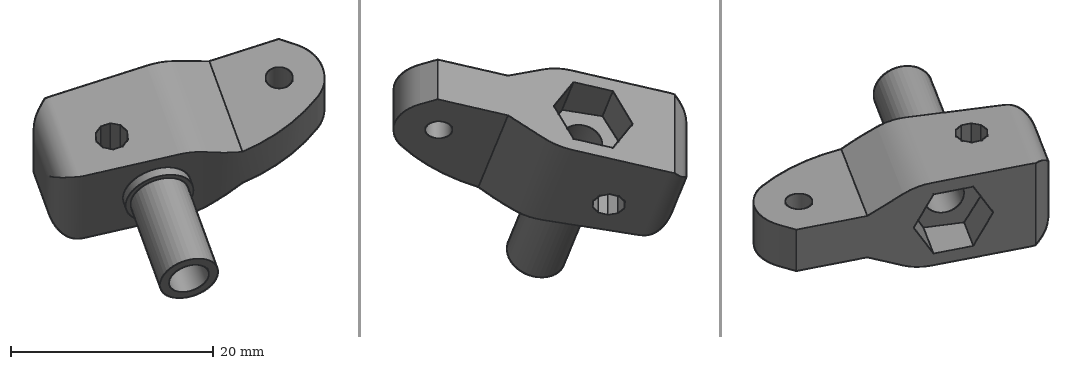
import cadquery as cq
import math


base_y = -10.5
tip_y = 19.5
body_thickness = 10.0
tang_thickness = 5.0

tip_radius = 4.5
pivot_x = -8.37
pivot_y = tip_y - tip_radius
back_radius = 20.0
flank_corner_x = -13.08
flank_corner_y = 16.3
flank_angle = 6.0
base_corner_radius = 3.0
base_flat_left_x = -7.25
base_chamfer_angle = 45.0

base_edge_radius = 2.5
slope_start_y = 8.95
slope_angle = 26.0
shoulder_radius = 6.6

collar_diameter = 7.0
collar_length = 0.95
shaft_diameter = 6.0
shaft_facets = 40
shaft_end_x = 11.5

pivot_hole_diameter = 2.7
bore_diameter = 4.1
hex_across_corners = 8.25
hex_floor_x = -7.0
cross_hole_x = -4.02
cross_hole_y = -3.48
cross_hole_diameter = 3.3
cross_hole_facets = 10
cross_hole_turn = -11.0


def on_circle(center, radius, degrees):
    """Point on a circle at an angle measured from the first axis."""
    angle = math.radians(degrees)
    return (center[0] + radius * math.cos(angle), center[1] + radius * math.sin(angle))


def plan_prism():
    """Outline seen along Z, extruded through the full body thickness."""
    pivot = (pivot_x, pivot_y)

    center_gap = back_radius - tip_radius
    back_center_x = -back_radius
    back_center_y = pivot_y - math.sqrt(center_gap**2 - (pivot_x - back_center_x)**2)
    back_center = (back_center_x, back_center_y)
    back_end_angle = math.degrees(math.atan2(pivot_y - back_center_y, pivot_x - back_center_x))

    corner_dx = flank_corner_x - pivot_x
    corner_dy = flank_corner_y - pivot_y
    corner_angle = math.degrees(math.atan2(corner_dy, corner_dx))
    corner_distance = math.hypot(corner_dx, corner_dy)
    tip_end_angle = corner_angle - math.degrees(math.acos(tip_radius / corner_distance))
    tip_mid_angle = (back_end_angle + tip_end_angle) / 2

    right_center = (-base_corner_radius, base_y + base_corner_radius)
    left_center = (base_flat_left_x, base_y + base_corner_radius)
    chamfer_normal_angle = 270 - base_chamfer_angle
    chamfer_mid_angle = 270 - base_chamfer_angle / 2
    chamfer_end = on_circle(left_center, base_corner_radius, chamfer_normal_angle)
    flank_slope = math.tan(math.radians(flank_angle))
    chamfer_slope = math.tan(math.radians(base_chamfer_angle))
    flank_x_at_chamfer_end = flank_corner_x + (flank_corner_y - chamfer_end[1]) * flank_slope
    chamfer_width = (chamfer_end[0] - flank_x_at_chamfer_end) / (1 - flank_slope * chamfer_slope)
    flank_end = (chamfer_end[0] - chamfer_width, chamfer_end[1] + chamfer_width * chamfer_slope)

    outline = (
        cq.Workplane("XY", origin=(0, 0, -body_thickness / 2))
        .moveTo(0, right_center[1])
        .lineTo(0, back_center_y)
        .threePointArc(
            on_circle(back_center, back_radius, back_end_angle / 2),
            on_circle(back_center, back_radius, back_end_angle),
        )
        .threePointArc(
            on_circle(pivot, tip_radius, tip_mid_angle),
            on_circle(pivot, tip_radius, tip_end_angle),
        )
        .lineTo(flank_corner_x, flank_corner_y)
        .lineTo(*flank_end)
        .lineTo(*chamfer_end)
        .threePointArc(
            on_circle(left_center, base_corner_radius, chamfer_mid_angle),
            (base_flat_left_x, base_y),
        )
        .lineTo(right_center[0], base_y)
        .threePointArc(on_circle(right_center, base_corner_radius, 315), (0, right_center[1]))
        .close()
    )
    return outline.extrude(body_thickness)


def thickness_prism():
    """Outline seen along X: a thick body narrowing to a thin tang."""
    half_body = body_thickness / 2
    half_tang = tang_thickness / 2

    slope = math.radians(slope_angle)
    slope_apex_y = slope_start_y - (half_body - half_tang) / math.tan(slope)
    shoulder_y = slope_apex_y - shoulder_radius * math.tan(slope / 2)
    shoulder_center = (shoulder_y, half_body - shoulder_radius)
    shoulder_mid = on_circle(shoulder_center, shoulder_radius, 90 - slope_angle / 2)
    shoulder_end = on_circle(shoulder_center, shoulder_radius, 90 - slope_angle)

    base_center = (base_y + base_edge_radius, half_body - base_edge_radius)
    base_mid = on_circle(base_center, base_edge_radius, 135)

    upper_half = (
        cq.Workplane("YZ", origin=(flank_corner_x, 0, 0))
        .moveTo(base_y, 0)
        .lineTo(base_y, base_center[1])
        .threePointArc(base_mid, (base_center[0], half_body))
        .lineTo(shoulder_y, half_body)
        .threePointArc(shoulder_mid, shoulder_end)
        .lineTo(slope_start_y, half_tang)
        .lineTo(tip_y, half_tang)
        .lineTo(tip_y, 0)
        .close()
        .extrude(-flank_corner_x)
    )
    return upper_half.union(upper_half.mirror("XY"))


def shaft():
    """Round collar and faceted shaft; the shaft has flats at the top and bottom."""
    half_facet_angle = 180 / shaft_facets
    collar = cq.Workplane("YZ").circle(collar_diameter / 2).extrude(collar_length)
    pin = (
        cq.Workplane("YZ")
        .polygon(shaft_facets, shaft_diameter)
        .extrude(shaft_end_x)
        .rotate((0, 0, 0), (1, 0, 0), half_facet_angle)
    )
    return collar.union(pin)


def shaft_bore():
    """Bore through the body and shaft, with a hexagonal nut pocket in the flank."""
    bore = (
        cq.Workplane("YZ", origin=(flank_corner_x, 0, 0))
        .circle(bore_diameter / 2)
        .extrude(shaft_end_x - flank_corner_x)
    )
    nut_pocket = (
        cq.Workplane("YZ", origin=(flank_corner_x, 0, 0))
        .polygon(6, hex_across_corners)
        .extrude(hex_floor_x - flank_corner_x)
    )
    return bore.union(nut_pocket)


def pivot_hole():
    """Round hole through the tang, concentric with the rounded tip."""
    return (
        cq.Workplane("XY", origin=(pivot_x, pivot_y, -body_thickness / 2))
        .circle(pivot_hole_diameter / 2)
        .extrude(body_thickness)
    )


def cross_hole():
    """Faceted hole through the body thickness, beside the shaft bore."""
    return (
        cq.Workplane("XY", origin=(cross_hole_x, cross_hole_y, -body_thickness / 2))
        .transformed(rotate=(0, 0, cross_hole_turn))
        .polygon(cross_hole_facets, cross_hole_diameter)
        .extrude(body_thickness)
    )


body = plan_prism().intersect(thickness_prism())
result = body.union(shaft()).cut(shaft_bore()).cut(pivot_hole()).cut(cross_hole())